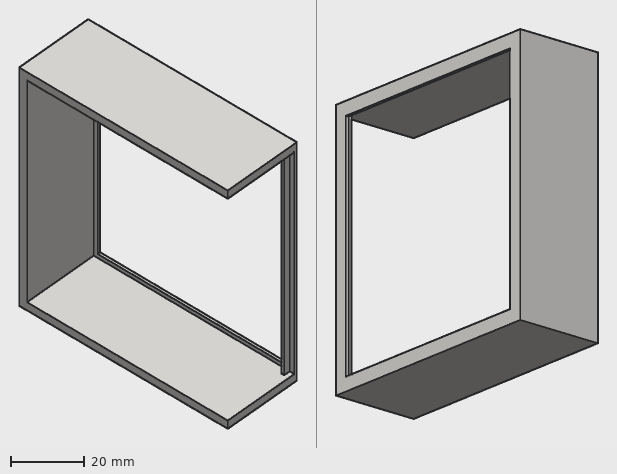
import cadquery as cq

width = 77.5
depth = 28.0
height = 85.0

wall = 3.0
lip = 1.45
right_border = 4.1
frame_thickness = 1.0
rib_width = 1.0
rib_height = 2.3
rib_setback = 1.7

inner_height = height - 2 * wall
frame_border = wall + lip
frame_front = depth - frame_thickness


def box_at(size, corner):
    """Box of the given size with its lowest corner at the given point."""
    return cq.Workplane("XY").box(*size, centered=False).translate(corner)


shell = box_at((width, depth, height), (0, 0, 0))
cavity = box_at((width - wall, frame_front, inner_height), (wall, 0, wall))

window = box_at(
    (width - frame_border - right_border, frame_thickness, height - 2 * frame_border),
    (frame_border, frame_front, frame_border),
)

rib = box_at(
    (rib_width, rib_height, inner_height),
    (width - rib_setback - rib_width, frame_front - rib_height, wall),
)

result = shell.cut(cavity).cut(window).union(rib)